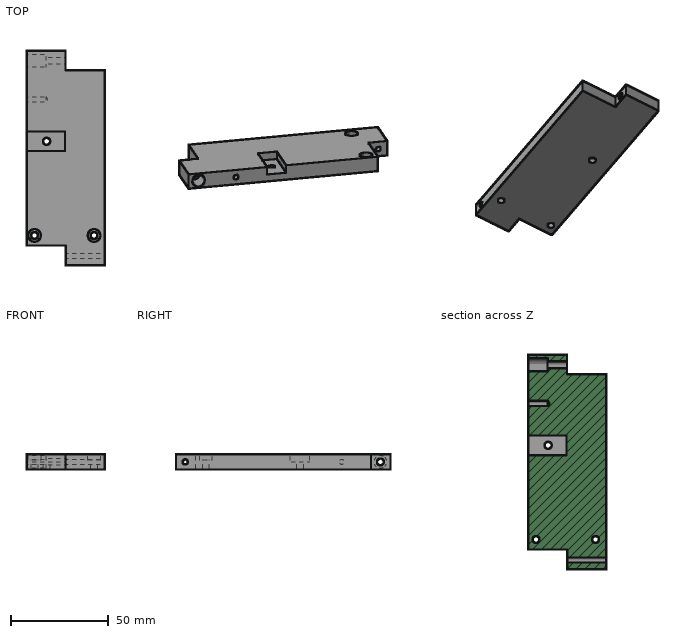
import cadquery as cq
import math

plate_width = 40.0
plate_length = 110.0
thickness = 8.0
left_strip_width = 19.95
right_strip_width = plate_width - left_strip_width
strip_offset = 10.0
strip_length = plate_length - strip_offset
mid_height = thickness / 2

pocket_length = 19.6
pocket_width = 10.0
pocket_depth = 4.1
pocket_center_y = 63.5
pocket_hole_x = 10.2
pocket_hole_diameter = 3.5

screw_diameter = 3.4
counterbore_diameter = 6.5
counterbore_depth = 3.0
vertical_screw_xs = (4.0, 34.5)
vertical_screw_y = 15.27
side_counterbore_depth = 10.0

pilot_y = 4.75
side_screw_y = pilot_y + strip_length
pilot_diameter = 2.5
blind_hole_y = 85.0
blind_hole_depth = 10.0
drill_point_angle = 118.0


def make_plate():
    left_strip = cq.Workplane("XY", origin=(0, strip_offset, 0)).box(
        left_strip_width, strip_length, thickness, centered=False
    )
    right_strip = cq.Workplane("XY", origin=(left_strip_width, 0, 0)).box(
        right_strip_width, strip_length, thickness, centered=False
    )
    return left_strip.union(right_strip)


def vertical_cylinder(x, y, bottom, diameter, height):
    return cq.Workplane("XY", origin=(x, y, bottom)).circle(diameter / 2).extrude(height)


def cylinder_along_x(x, y, diameter, length):
    return cq.Workplane("YZ", origin=(x, y, mid_height)).circle(diameter / 2).extrude(length)


def cut_pocket(body):
    floor_height = thickness - pocket_depth
    pocket = cq.Workplane("XY", origin=(0, pocket_center_y, floor_height)).box(
        pocket_length, pocket_width, pocket_depth, centered=(False, True, False)
    )
    hole = vertical_cylinder(pocket_hole_x, pocket_center_y, 0, pocket_hole_diameter, thickness)
    return body.cut(pocket).cut(hole)


def cut_vertical_screw_holes(body):
    for x in vertical_screw_xs:
        hole = vertical_cylinder(x, vertical_screw_y, 0, screw_diameter, thickness)
        counterbore = vertical_cylinder(
            x, vertical_screw_y, thickness - counterbore_depth, counterbore_diameter, counterbore_depth
        )
        body = body.cut(hole).cut(counterbore)
    return body


def drilled_blind_hole():
    radius = pilot_diameter / 2
    point_length = radius / math.tan(math.radians(drill_point_angle / 2))
    shaft = cylinder_along_x(0, blind_hole_y, pilot_diameter, blind_hole_depth)
    point = cq.Solid.makeCone(
        radius, 0, point_length, cq.Vector(blind_hole_depth, blind_hole_y, mid_height), cq.Vector(1, 0, 0)
    )
    return shaft.union(cq.Workplane(point))


def cut_side_holes(body):
    screw = cylinder_along_x(0, side_screw_y, screw_diameter, left_strip_width)
    counterbore = cylinder_along_x(0, side_screw_y, counterbore_diameter, side_counterbore_depth)
    pilot = cylinder_along_x(left_strip_width, pilot_y, pilot_diameter, right_strip_width)
    return body.cut(screw).cut(counterbore).cut(pilot).cut(drilled_blind_hole())


result = cut_side_holes(cut_vertical_screw_holes(cut_pocket(make_plate())))